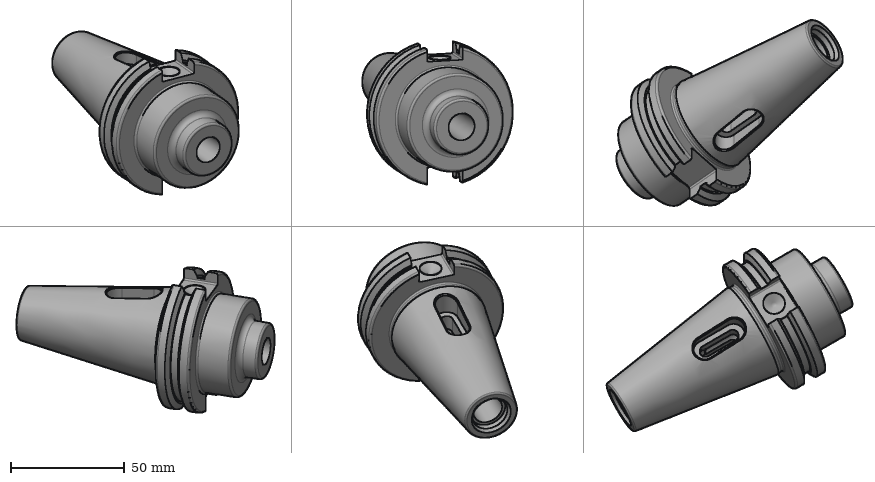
import cadquery as cq
import math

LENGTH = 112.7

TAPER_RATIO = 7 / 24
GAUGE_DIA = 44.4
GAUGE_X = 68.3
SHANK_ROUND = 0.8
RELIEF_DIA = 43.6
RELIEF_X = 69.6
RELIEF_FILLET = 0.7

FLANGE_DIA = 63.2
FLANGE_START = 71.5
FLANGE_END = 87.3
FLANGE_ROUND = 1.0
GROOVE_FLOOR_DIA = 55.8
GROOVE_STEP_DIA = 57.7
GROOVE_FLOOR_WIDTH = 3.5
GROOVE_FLANK_ANGLE = 30.0

BODY_DIA = GAUGE_DIA
BODY_END = 103.2
BODY_ROUND = 1.0
BODY_FILLET = 0.9
NOSE_DIA = 25.4
NOSE_FILLET = 2.7
NOSE_ROUND = 1.0

SLOT_WIDTH = 16.5
SLOT_FLOOR_FILLET = 0.7
UPPER_SLOT_FLOOR = 25.0
LOWER_SLOT_FLOOR = 22.5
DIMPLE_DIA = 9.7
DIMPLE_WALL = 0.3

DRIFT_X = 51.0
DRIFT_LENGTH = 19.2
DRIFT_WIDTH = 5.2
POCKET_LENGTH = 25.0
POCKET_WIDTH = 10.1
POCKET_FLOOR = 11.7
POCKET_CHAMFER = 0.6
RIM_MARGIN = 0.1

DRILL_POINT_ANGLE = 118.0
DRAWBAR_DIA = 13.4
DRAWBAR_DEPTH = 43.5
RECESS_DIA = 16.3
RECESS_DEPTH = 4.5
COUNTERSINK_DIA = 18.4
COUNTERSINK_DEPTH = 1.7

SOCKET_MOUTH_DIA = 12.1
SOCKET_END_DIA = 9.6
SOCKET_TAPER = 1 / 20
SOCKET_END_X = 45.6

flange_mid = (FLANGE_START + FLANGE_END) / 2
flange_width = FLANGE_END - FLANGE_START


def taper_radius(x):
    return (GAUGE_DIA - TAPER_RATIO * (GAUGE_X - x)) / 2


def drill_point_depth(diameter):
    return diameter / 2 / math.tan(math.radians(DRILL_POINT_ANGLE / 2))


def revolve_about_x(profile):
    """Close a half-profile drawn in XY and turn it round the spindle axis."""
    return profile.close().revolve(360, (0, 0, 0), (1, 0, 0))


def make_shank():
    profile = (
        cq.Workplane("XY")
        .lineTo(0, taper_radius(0))
        .lineTo(GAUGE_X, taper_radius(GAUGE_X))
        .lineTo(RELIEF_X, RELIEF_DIA / 2)
        .lineTo(FLANGE_START, RELIEF_DIA / 2)
        .lineTo(FLANGE_START, 0)
    )
    return revolve_about_x(profile).faces("<X").edges().fillet(SHANK_ROUND)


def make_flange():
    blank = (
        cq.Workplane("YZ", origin=(FLANGE_START, 0, 0))
        .circle(FLANGE_DIA / 2)
        .extrude(flange_width)
        .edges()
        .fillet(FLANGE_ROUND)
    )
    flank_width = (FLANGE_DIA - GROOVE_STEP_DIA) / 2 * math.tan(math.radians(GROOVE_FLANK_ANGLE))
    floor_start = flange_mid - GROOVE_FLOOR_WIDTH / 2
    floor_end = flange_mid + GROOVE_FLOOR_WIDTH / 2
    groove = (
        cq.Workplane("XY")
        .moveTo(floor_start, GROOVE_FLOOR_DIA / 2)
        .lineTo(floor_start, GROOVE_STEP_DIA / 2)
        .lineTo(floor_start - flank_width, FLANGE_DIA / 2)
        .lineTo(floor_end + flank_width, FLANGE_DIA / 2)
        .lineTo(floor_end, GROOVE_STEP_DIA / 2)
        .lineTo(floor_end, GROOVE_FLOOR_DIA / 2)
    )
    return blank.cut(revolve_about_x(groove))


def make_body():
    body = (
        cq.Workplane("YZ", origin=(FLANGE_END, 0, 0))
        .circle(BODY_DIA / 2)
        .extrude(BODY_END - FLANGE_END)
        .faces(">X")
        .edges()
        .fillet(BODY_ROUND)
    )
    nose = (
        cq.Workplane("YZ", origin=(BODY_END, 0, 0))
        .circle(NOSE_DIA / 2)
        .extrude(LENGTH - BODY_END)
        .faces(">X")
        .edges()
        .fillet(NOSE_ROUND)
    )
    return body.union(nose)


def make_corner_ring(x, radius, fillet, direction):
    """Concave fillet where a shaft leaves a wall at x; direction points along the shaft."""
    arc_inset = fillet * (1 - math.sqrt(0.5))
    arc_middle = (x + direction * arc_inset, radius + arc_inset)
    profile = (
        cq.Workplane("XY")
        .moveTo(x, radius)
        .lineTo(x, radius + fillet)
        .threePointArc(arc_middle, (x + direction * fillet, radius))
    )
    return revolve_about_x(profile)


def make_blank():
    blank = make_shank().union(make_flange()).union(make_body())
    corner_rings = [
        (FLANGE_START, RELIEF_DIA / 2, RELIEF_FILLET, -1),
        (FLANGE_END, BODY_DIA / 2, BODY_FILLET, 1),
        (BODY_END, NOSE_DIA / 2, NOSE_FILLET, 1),
    ]
    for ring in corner_rings:
        blank = blank.union(make_corner_ring(*ring))
    return blank


def make_drive_slot(floor, side):
    """Slot along X through the flange; side is +1 for the top and -1 for the bottom."""
    height = FLANGE_DIA / 2 - floor
    floor_edges = "|X and <Z" if side > 0 else "|X and >Z"
    return (
        cq.Workplane("XY")
        .box(flange_width, SLOT_WIDTH, height)
        .edges(floor_edges)
        .fillet(SLOT_FLOOR_FILLET)
        .translate((flange_mid, 0, side * (floor + height / 2)))
    )


def make_dimple():
    """Drilled dimple in the upper slot floor: a short straight wall above the drill point."""
    wall_bottom = UPPER_SLOT_FLOOR - DIMPLE_WALL
    depth = drill_point_depth(DIMPLE_DIA)
    point = cq.Solid.makeCone(0, DIMPLE_DIA / 2, depth)
    wall = (
        cq.Workplane("XY", origin=(flange_mid, 0, wall_bottom))
        .circle(DIMPLE_DIA / 2)
        .extrude(DIMPLE_WALL)
    )
    return wall.union(cq.Workplane(point).translate((flange_mid, 0, wall_bottom - depth)))


def make_drift_slot():
    return (
        cq.Workplane("XY", origin=(DRIFT_X, 0, 0))
        .slot2D(DRIFT_LENGTH, DRIFT_WIDTH)
        .extrude(GAUGE_DIA / 2, both=True)
    )


def cut_drift_pockets(part):
    """Cut the two pockets, then chamfer the rim of each where it meets the taper."""
    pocket_start = DRIFT_X - POCKET_LENGTH / 2
    pocket_end = DRIFT_X + POCKET_LENGTH / 2
    for side in (1, -1):
        pocket = (
            cq.Workplane("XY", origin=(DRIFT_X, 0, side * POCKET_FLOOR))
            .slot2D(POCKET_LENGTH, POCKET_WIDTH)
            .extrude(side * (GAUGE_DIA / 2 - POCKET_FLOOR))
        )
        part = part.cut(pocket)
        rim_box = cq.selectors.BoxSelector(
            (pocket_start - RIM_MARGIN, -POCKET_WIDTH, side * (POCKET_FLOOR + RIM_MARGIN)),
            (pocket_end + RIM_MARGIN, POCKET_WIDTH, side * GAUGE_DIA / 2),
            boundingbox=True,
        )
        part = part.edges(rim_box).edges("not |Z").chamfer(POCKET_CHAMFER)
    return part


def make_drawbar_hole():
    profile = (
        cq.Workplane("XY")
        .lineTo(0, COUNTERSINK_DIA / 2)
        .lineTo(COUNTERSINK_DEPTH, RECESS_DIA / 2)
        .lineTo(RECESS_DEPTH, RECESS_DIA / 2)
        .lineTo(RECESS_DEPTH, DRAWBAR_DIA / 2)
        .lineTo(DRAWBAR_DEPTH, DRAWBAR_DIA / 2)
        .lineTo(DRAWBAR_DEPTH + drill_point_depth(DRAWBAR_DIA), 0)
    )
    return revolve_about_x(profile)


def make_morse_socket():
    taper_length = (SOCKET_MOUTH_DIA - SOCKET_END_DIA) / SOCKET_TAPER
    profile = (
        cq.Workplane("XY")
        .moveTo(LENGTH, 0)
        .lineTo(LENGTH, SOCKET_MOUTH_DIA / 2)
        .lineTo(LENGTH - taper_length, SOCKET_END_DIA / 2)
        .lineTo(SOCKET_END_X, SOCKET_END_DIA / 2)
        .lineTo(SOCKET_END_X, 0)
    )
    return revolve_about_x(profile)


result = cut_drift_pockets(make_blank())
result = result.cut(make_drive_slot(UPPER_SLOT_FLOOR, 1))
result = result.cut(make_drive_slot(LOWER_SLOT_FLOOR, -1))
result = result.cut(make_dimple())
result = result.cut(make_drift_slot())
result = result.cut(make_drawbar_hole())
result = result.cut(make_morse_socket())